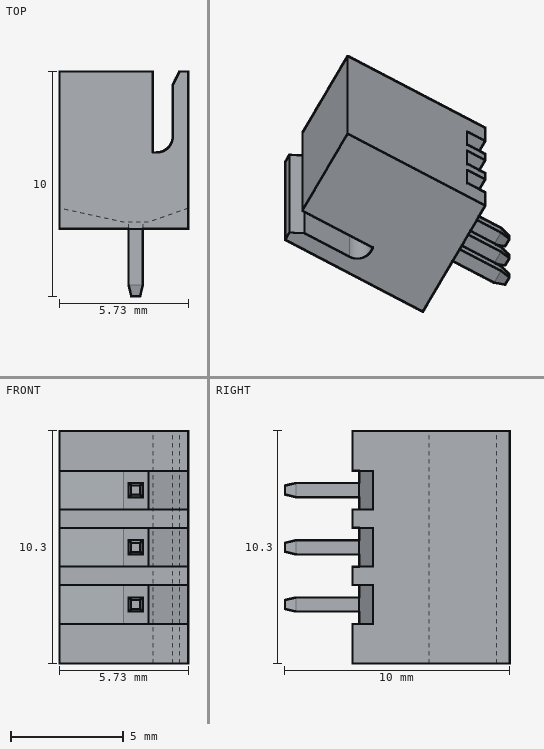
import cadquery as cq


body_width = 5.73
body_depth = 7.0
body_height = 10.34

pin_count = 3
pin_pitch = 2.54
pin_x = 3.39
pin_size = 0.64
pin_length = 3.0
pin_tip_length = 0.5
pin_tip_size = 0.4
pin_embed = 0.52

recess_height = 1.72
seat_start = 2.85
seat_width = 1.11
seat_end = seat_start + seat_width
seat_depth = 0.3
recess_edge_depth = 0.92

latch_thickness = 0.69
slot_width = 0.88
slot_depth = 3.6
slot_corner_radius = 0.7
lead_in_width = 0.3
lead_in_length = 0.6

pin_heights = [(i - (pin_count - 1) / 2) * pin_pitch for i in range(pin_count)]


def make_body():
    return cq.Workplane("XY").box(body_width, body_depth, body_height, centered=(False, False, True))


def make_recess(center_z):
    return (
        cq.Workplane("XY", origin=(0, 0, center_z - recess_height / 2))
        .moveTo(0, 0)
        .lineTo(0, recess_edge_depth)
        .lineTo(seat_start, seat_depth)
        .lineTo(seat_end, seat_depth)
        .lineTo(body_width, recess_edge_depth)
        .lineTo(body_width, 0)
        .close()
        .extrude(recess_height)
    )


def make_pin(center_z):
    shank_end = pin_length - pin_tip_length
    shank_start = seat_depth + pin_embed
    shank = (
        cq.Workplane("XZ", origin=(pin_x, shank_start, center_z))
        .rect(pin_size, pin_size)
        .extrude(shank_start + shank_end)
    )
    tip = (
        cq.Workplane("XZ", origin=(pin_x, -shank_end, center_z))
        .rect(pin_size, pin_size)
        .workplane(offset=pin_tip_length)
        .rect(pin_tip_size, pin_tip_size)
        .loft()
    )
    return shank.union(tip)


def make_locking_slot():
    slot_outer_x = body_width - latch_thickness
    slot_inner_x = slot_outer_x - slot_width
    slot_floor_y = body_depth - slot_depth
    return (
        cq.Workplane("XY", origin=(0, 0, -body_height / 2))
        .moveTo(slot_inner_x, body_depth)
        .lineTo(slot_inner_x, slot_floor_y)
        .lineTo(slot_outer_x - slot_corner_radius, slot_floor_y)
        .radiusArc((slot_outer_x, slot_floor_y + slot_corner_radius), -slot_corner_radius)
        .lineTo(slot_outer_x, body_depth - lead_in_length)
        .lineTo(slot_outer_x + lead_in_width, body_depth)
        .close()
        .extrude(body_height)
    )


housing = make_body().cut(make_locking_slot())
for height in pin_heights:
    housing = housing.cut(make_recess(height))
    housing = housing.union(make_pin(height))

result = housing